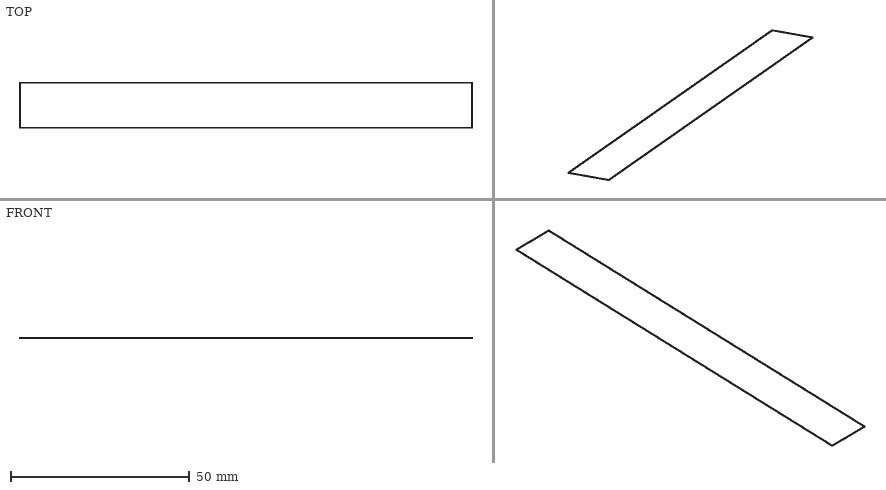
import cadquery as cq

length = 127.0
width = 12.7
thickness = 0.1

result = cq.Workplane("XY").box(length, width, thickness)